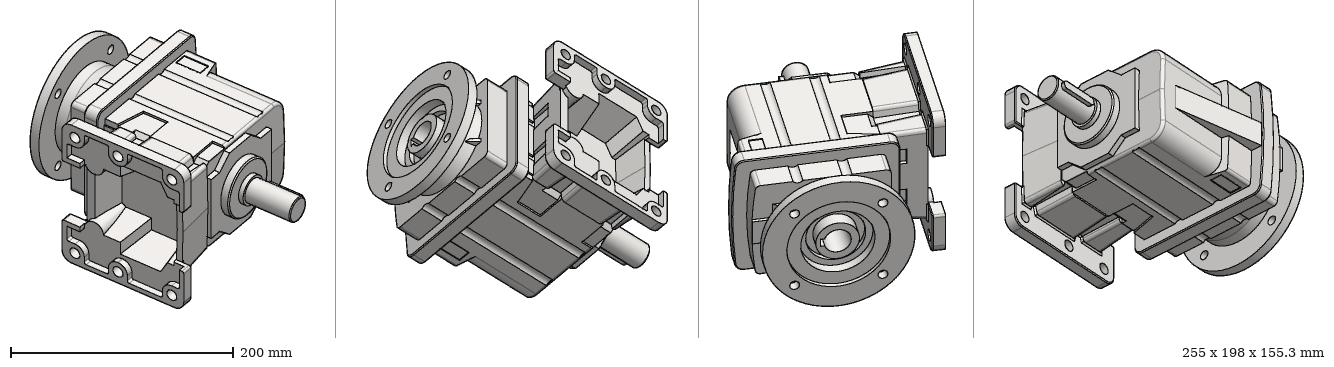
import cadquery as cq
import math


FLANGE_END = 10.0
NECK_END = 21.2
BLOCK_START = 35.0
COVER_START = 58.5
COVER_END = 73.5
HEAD_END = 103.3
HEAD_FOOT = 110.5
HOUSING_END = 184.5
HOUSING_RIDGE = 186.5
END_BOSS_END = 191.0
CAP_END = 200.0
COLLAR_END = 205.0
SHAFT_END = 255.0

FLANGE_D = 140.0
NECK_D = 90.0
CONE_D = 95.0
FLANGE_HOLE_D = 9.0
FLANGE_HOLE_OFFSET = 40.5
SPIGOT_D = 95.0
SPIGOT_DEPTH = 4.0
SEAL_BORE_D = 68.0
SEAL_BORE_DEPTH = 13.8
BEARING_BORE_D = 55.0
BEARING_BORE_DEPTH = 18.9
HUB_D = 40.0
HUB_FACE = 5.0
BORE_D = 25.0
BORE_DEPTH = 63.8
INPUT_KEY_TOP = 15.5
KEY_WIDTH = 8.0

BLOCK_HALF_Z = 50.0
BLOCK_TOP = 68.8
BLOCK_CROWN = 3.8
BLOCK_BOTTOM = -55.3
BLOCK_ROUND = 4.5
HEAD_TOP = 71.1
HEAD_CROWN = 1.5
HEAD_ROUND = 3.0
COVER_HALF_Z = 62.0
COVER_HEIGHT = 198.0
COVER_TOP = 82.5
COVER_BOTTOM = -68.3
COVER_ROUND = 9.0
COVER_CHAMFER = 1.0
HOUSING_HALF_Z = 50.0
HOUSING_TOP = 65.3
HOUSING_BOTTOM = -56.4
HOUSING_ROUND = 16.3
HOUSING_END_ROUND = 3.0
UNDERSIDE_PAD_Y = -58.0
UNDERSIDE_PAD_END = 87.7
UNDERSIDE_PAD_HALF_Z = 43.4
UNDERSIDE_GROOVE_D = 6.0
UNDERSIDE_GROOVE_Z = 22.0
LABEL_DEPTH = 1.0
GROOVE_CENTRES = (30.3, -14.8)
GROOVE_WIDTH = 9.2
GROOVE_DEPTH = 2.0
GROOVE_END = 182.5
RIB_HALF_Z = 12.5
SPINE_TOP = 84.7
SPINE_END = 168.3
LUG_START = 31.5
LUG_BOTTOM = 38.2
SHOULDER_HALF_Z = 27.3
GUSSET_INNER_Z = 22.5
GUSSET_OUTER_Z = 26.8

OUTPUT_Y = -11.7
END_BOSS_TOP = 36.7
END_BOSS_HALF_FLAT = 16.3
END_BOSS_HALF_BASE = 31.5
END_BOSS_TOP_Z = 46.0
END_BOSS_SIDE_Z = 33.2
CAP_D = 60.0
COLLAR_D = 30.0
SHAFT_D = 25.0
SHAFT_CHAMFER = 1.0
CAP_CHAMFER = 1.3
OUTPUT_KEY_START = 209.9
OUTPUT_KEY_END = 250.2
OUTPUT_KEY_TOP = 4.3
OUTPUT_KEY_ROUND = 3.8

FOOT_WIDTH = 155.3
FOOT_HALF_Z = FOOT_WIDTH / 2
COVER_CREST = 86.5
COVER_CROWN = COVER_CREST - COVER_TOP
FOOT_BOTTOM = COVER_CREST - COVER_HEIGHT
FOOT_TOP = -99.2
FOOT_START = 65.3
FOOT_END = 200.2
FOOT_GAP_HALF_Z = 33.2
FOOT_ROUND = 10.5
FOOT_EDGE_CHAMFER = 1.0
FOOT_INNER_ROUND = 2.0
FOOT_HOLE_D = 11.0
FOOT_HOLE_XS = (79.5, 127.2, 187.0)
FOOT_HOLE_Z = 65.0
FOOT_BOSS_R = 10.5
FOOT_BOSS_ROUND = 10.2
RECESS_Y = -104.5
RECESS_START = 71.0
RECESS_END = 195.3
RECESS_HALF_Z = 72.5
RECESS_ROUND = 2.0
RIM_STEP_X = 85.2
RIM_STEP_Z = 38.5
PAD_X = 96.0
PAD_Z = 37.5
PAD_R = 10.5

POST_Z = 51.3
MIDDLE_Z = 55.0
HOLLOW_BASE_Z = 46.5
PEDESTAL_TAPER = 4.3
PEDESTAL_ROUND = 3.8
PEDESTAL_FLARE = 1.5
WINDOW_FLOOR_X = 89.8
WINDOW_BOTTOM = -80.0
WINDOW_Z = 22.7
WINDOW_WIDTH = 16.0
CAVITY_TAPER = 10
CAVITY_FLOOR = -66.0

FLAT_Z = 47.7
FLAT_TOP = -27.0
LABEL_FLAT_END = 122.0
END_FLAT_START = 171.4
SLOPE_START = 103.5
SLOPE_TOP = -51.3
HOLLOW_Z = 43.4


def box(x0, x1, y0, y1, z0, z1):
    return cq.Workplane("XY").box(x1 - x0, y1 - y0, z1 - z0, centered=False).translate((x0, y0, z0))


def x_rod(diameter, x0, x1, y=0.0, z=0.0):
    return cq.Workplane("YZ", origin=(x0, y, z)).circle(diameter / 2).extrude(x1 - x0)


def y_rod(radius, y0, y1, x, z):
    return cq.Workplane("XZ", origin=(x, y0, z)).circle(radius).extrude(y0 - y1)


def prism_z(points, z0, z1):
    return cq.Workplane("XY", origin=(0, 0, z0)).polyline(points).close().extrude(z1 - z0)


def both_sides(solid):
    return solid.union(solid.mirror("XY"))


def mirrored_outline(points):
    """Closes an outline given for z >= 0 (from low x to high x) with its mirror image."""
    return points + [(x, -z) for x, z in reversed(points) if z > 0]


def inset(points, distance):
    """Moves every side of a clockwise outline inwards by the distance, keeping sharp corners."""
    moved = []
    for i, (x, z) in enumerate(points):
        x_before, z_before = points[i - 1]
        x_after, z_after = points[(i + 1) % len(points)]
        angle_in = math.atan2(z - z_before, x - x_before)
        angle_out = math.atan2(z_after - z, x_after - x)
        half_turn = (angle_out - angle_in) / 2
        bisector = angle_in + half_turn - math.pi / 2
        reach = distance / math.cos(half_turn)
        moved.append((x + reach * math.cos(bisector), z + reach * math.sin(bisector)))
    return moved


def tapered_y(points, y0, y1, shrink):
    """Solid growing from y0 towards +Y whose sides have moved inwards by the shrink at y1."""
    return (
        cq.Workplane("XZ", origin=(0, y0, 0))
        .polyline(points)
        .close()
        .workplane(offset=y0 - y1)
        .polyline(inset(points, shrink))
        .close()
        .loft(ruled=True)
    )


def crowned_plate(x0, x1, half_z, bottom, top, crown, rounding):
    """Rounded rectangle across X whose +Y side bulges outwards by the crown."""
    return (
        cq.Workplane("YZ", origin=(x0, 0, 0))
        .moveTo(top, -half_z)
        .lineTo(bottom, -half_z)
        .lineTo(bottom, half_z)
        .lineTo(top, half_z)
        .threePointArc((top + crown, 0), (top, -half_z))
        .close()
        .extrude(x1 - x0)
        .edges("|X")
        .fillet(rounding)
    )


def make_input():
    cone = (
        cq.Workplane("YZ", origin=(NECK_END, 0, 0))
        .circle(NECK_D / 2)
        .workplane(offset=BLOCK_START - NECK_END)
        .circle(CONE_D / 2)
        .loft()
    )
    body = x_rod(FLANGE_D, 0, FLANGE_END).union(x_rod(NECK_D, FLANGE_END, NECK_END)).union(cone)
    for y in (-FLANGE_HOLE_OFFSET, FLANGE_HOLE_OFFSET):
        for z in (-FLANGE_HOLE_OFFSET, FLANGE_HOLE_OFFSET):
            body = body.cut(x_rod(FLANGE_HOLE_D, 0, FLANGE_END, y, z))
    return body


def bore_input(body):
    body = body.cut(x_rod(SPIGOT_D, 0, SPIGOT_DEPTH))
    body = body.cut(x_rod(SEAL_BORE_D, 0, SEAL_BORE_DEPTH))
    body = body.cut(x_rod(BEARING_BORE_D, 0, BEARING_BORE_DEPTH))
    body = body.union(x_rod(HUB_D, HUB_FACE, BEARING_BORE_DEPTH))
    body = body.cut(x_rod(BORE_D, 0, BORE_DEPTH))
    return body.cut(box(0, BORE_DEPTH, 0, INPUT_KEY_TOP, -KEY_WIDTH / 2, KEY_WIDTH / 2))


def make_input_ribs():
    top = BLOCK_TOP + BLOCK_CROWN
    lug = box(LUG_START, BLOCK_START, LUG_BOTTOM, top, -RIB_HALF_Z, RIB_HALF_Z)
    shoulder = prism_z(
        [(22.2, 35.7), (BLOCK_START, 53.5), (BLOCK_START, 35.7)], -SHOULDER_HALF_Z, SHOULDER_HALF_Z
    )
    gusset = prism_z(
        [(24.2, -37.2), (BLOCK_START, -46.5), (BLOCK_START, -35.7)], GUSSET_INNER_Z, GUSSET_OUTER_Z
    )
    return lug.union(shoulder).union(both_sides(gusset))


def make_housing():
    tail_outline = [
        (COVER_END, -HOUSING_HALF_Z),
        (COVER_END, HOUSING_HALF_Z),
        (HOUSING_END, HOUSING_HALF_Z),
        (HOUSING_RIDGE, 0),
        (HOUSING_END, -HOUSING_HALF_Z),
    ]
    tail = (
        cq.Workplane("XZ", origin=(0, HOUSING_BOTTOM, 0))
        .polyline(tail_outline)
        .close()
        .extrude(HOUSING_BOTTOM - HOUSING_TOP)
    )
    tail = tail.edges("|X and >Y").fillet(HOUSING_ROUND)
    corner_zone = cq.selectors.BoxSelector(
        (HOUSING_END - 1.0, -127.5, -127.5),
        (HOUSING_END + 1.0, 127.5, 127.5),
    )
    tail = tail.edges("|Y").edges(corner_zone).fillet(HOUSING_END_ROUND)
    head = crowned_plate(
        COVER_END, HEAD_FOOT, HOUSING_HALF_Z, HOUSING_BOTTOM, HEAD_TOP, HEAD_CROWN, HEAD_ROUND
    )
    head_limit = prism_z(
        [(COVER_END, 0), (COVER_END, 76.5), (HEAD_END, 76.5), (HEAD_FOOT, 48.5), (HEAD_FOOT, 0)],
        -HOUSING_HALF_Z,
        HOUSING_HALF_Z,
    )
    spine = prism_z(
        [(COVER_END, 0), (COVER_END, SPINE_TOP), (SPINE_END, HOUSING_TOP), (SPINE_END, 0)],
        -RIB_HALF_Z,
        RIB_HALF_Z,
    )
    housing = tail.union(head.intersect(head_limit)).union(spine)
    label = box(76.0, 102.8, 49.2, 62.0, HOUSING_HALF_Z - LABEL_DEPTH, HOUSING_HALF_Z)
    return housing.cut(both_sides(label))


def make_underside_pad():
    pad = box(
        COVER_END,
        UNDERSIDE_PAD_END,
        UNDERSIDE_PAD_Y,
        HOUSING_BOTTOM,
        -UNDERSIDE_PAD_HALF_Z,
        UNDERSIDE_PAD_HALF_Z,
    )
    groove = x_rod(UNDERSIDE_GROOVE_D, COVER_END, UNDERSIDE_PAD_END, UNDERSIDE_PAD_Y, UNDERSIDE_GROOVE_Z)
    return pad.cut(both_sides(groove))


def cut_grooves(body):
    radius = (GROOVE_WIDTH**2 / 4 + GROOVE_DEPTH**2) / (2 * GROOVE_DEPTH)
    for y in GROOVE_CENTRES:
        for half_z, x0, x1 in (
            (BLOCK_HALF_Z, BLOCK_START, COVER_START),
            (HOUSING_HALF_Z, COVER_END, GROOVE_END),
        ):
            z = half_z - GROOVE_DEPTH + radius
            body = body.cut(both_sides(x_rod(2 * radius, x0, x1, y, z)))
    return body


def make_cover():
    cover = crowned_plate(
        COVER_START, COVER_END, COVER_HALF_Z, COVER_BOTTOM, COVER_TOP, COVER_CROWN, COVER_ROUND
    )
    return cover.faces("<X or >X").chamfer(COVER_CHAMFER)


def make_output():
    half_outline = [
        (HOUSING_BOTTOM, END_BOSS_SIDE_Z),
        (OUTPUT_Y - END_BOSS_HALF_BASE, END_BOSS_SIDE_Z),
        (OUTPUT_Y - END_BOSS_HALF_FLAT, END_BOSS_TOP_Z),
        (OUTPUT_Y + END_BOSS_HALF_FLAT, END_BOSS_TOP_Z),
        (OUTPUT_Y + END_BOSS_HALF_BASE, END_BOSS_SIDE_Z),
        (END_BOSS_TOP, END_BOSS_SIDE_Z),
    ]
    boss = (
        cq.Workplane("YZ", origin=(HOUSING_END, 0, 0))
        .polyline(mirrored_outline(half_outline))
        .close()
        .extrude(END_BOSS_END - HOUSING_END)
    )
    cap = x_rod(CAP_D, END_BOSS_END, CAP_END, OUTPUT_Y).faces(">X").chamfer(CAP_CHAMFER)
    collar = x_rod(COLLAR_D, CAP_END, COLLAR_END, OUTPUT_Y)
    shaft = x_rod(SHAFT_D, COLLAR_END, SHAFT_END, OUTPUT_Y).faces(">X").chamfer(SHAFT_CHAMFER)
    key = box(OUTPUT_KEY_START, OUTPUT_KEY_END, OUTPUT_Y, OUTPUT_KEY_TOP, -KEY_WIDTH / 2, KEY_WIDTH / 2)
    key = key.edges("|Y").fillet(OUTPUT_KEY_ROUND)
    return boss.union(cap).union(collar).union(shaft).union(key)


def make_pedestal():
    left_post = [(84.2, POST_Z), (109.1, POST_Z)]
    left_hollow = [(110.5, HOLLOW_BASE_Z), (118.3, HOLLOW_BASE_Z)]
    middle = [(120.9, MIDDLE_Z), (171.9, MIDDLE_Z)]
    right_hollow = [(174.2, HOLLOW_BASE_Z), (178.2, HOLLOW_BASE_Z)]
    right_post = [(179.8, POST_Z), (189.5, POST_Z), (190.5, 0.0)]
    outline = mirrored_outline(left_post + left_hollow + middle + right_hollow + right_post)
    shrink = (HOUSING_BOTTOM - FOOT_TOP) * math.tan(math.radians(PEDESTAL_TAPER))
    pedestal = tapered_y(outline, FOOT_TOP, HOUSING_BOTTOM, shrink)
    mid_y = (FOOT_TOP + HOUSING_BOTTOM) / 2
    for x, z in left_post + middle + right_post[1:2]:
        for side in (z, -z):
            corner = pedestal.edges(cq.selectors.NearestToPointSelector((x, mid_y, side)))
            pedestal = corner.fillet(PEDESTAL_ROUND)
    for z in (-WINDOW_Z, WINDOW_Z):
        window = box(
            left_post[0][0],
            WINDOW_FLOOR_X,
            WINDOW_BOTTOM,
            HOUSING_BOTTOM,
            z - WINDOW_WIDTH / 2,
            z + WINDOW_WIDTH / 2,
        )
        pedestal = pedestal.cut(window)
    flare = tapered_y(inset(outline, -PEDESTAL_FLARE), FOOT_TOP, FOOT_TOP + PEDESTAL_FLARE, PEDESTAL_FLARE)
    gap = box(FOOT_START, FOOT_END, FOOT_TOP, HOUSING_BOTTOM, -FOOT_GAP_HALF_Z, FOOT_GAP_HALF_Z)
    return pedestal.union(flare.cut(gap))


def make_cavity():
    outline = mirrored_outline(
        [
            (92.0, 37.0),
            (125.0, 37.0),
            (125.0, 50.2),
            (169.5, 50.2),
            (177.2, 37.0),
            (184.0, 37.0),
            (185.1, 0.0),
        ]
    )
    shrink = (CAVITY_FLOOR - RECESS_Y) * math.tan(math.radians(CAVITY_TAPER))
    cavity = tapered_y(outline, RECESS_Y, CAVITY_FLOOR, shrink)
    return cavity.cut(both_sides(y_rod(PAD_R, RECESS_Y, CAVITY_FLOOR, PAD_X, PAD_Z)))


def make_recess():
    recess = box(RECESS_START, RECESS_END, FOOT_BOTTOM, RECESS_Y, FOOT_GAP_HALF_Z, RECESS_HALF_Z)
    recess = recess.cut(box(RECESS_START, RIM_STEP_X, FOOT_BOTTOM, RECESS_Y, FOOT_GAP_HALF_Z, RIM_STEP_Z))
    boss_z = FOOT_HOLE_Z - FOOT_BOSS_R
    for x in FOOT_HOLE_XS:
        boss = box(x - FOOT_BOSS_R, x + FOOT_BOSS_R, FOOT_BOTTOM, RECESS_Y, boss_z, FOOT_HALF_Z)
        recess = recess.cut(boss.edges("|Y and <Z").fillet(FOOT_BOSS_ROUND))
    for x0, x1 in ((FOOT_START, FOOT_HOLE_XS[0]), (FOOT_HOLE_XS[-1], FOOT_END)):
        recess = recess.cut(box(x0, x1, FOOT_BOTTOM, RECESS_Y, boss_z, FOOT_HALF_Z))
    recess = recess.edges("|Y").edges(">Z").fillet(RECESS_ROUND)
    recess = recess.edges("|Y").edges("<X").edges(">Z").fillet(RECESS_ROUND)
    return recess.edges("|Y").edges(">X").edges(">Z").fillet(RECESS_ROUND)


def make_foot_half():
    plate = box(FOOT_START, FOOT_END, FOOT_BOTTOM, FOOT_TOP, FOOT_GAP_HALF_Z, FOOT_HALF_Z)
    plate = plate.edges("|Y and >Z").fillet(FOOT_ROUND)
    plate = plate.edges("|Y and <Z").fillet(FOOT_INNER_ROUND)
    plate = plate.faces(">Y").edges("not <Z").chamfer(FOOT_EDGE_CHAMFER)
    plate = plate.cut(make_recess()).union(y_rod(PAD_R, RECESS_Y, FOOT_TOP, PAD_X, PAD_Z))
    for x in FOOT_HOLE_XS:
        plate = plate.cut(y_rod(FOOT_HOLE_D / 2, FOOT_BOTTOM, FOOT_TOP, x, FOOT_HOLE_Z))
    return plate


def cut_side_flats(body):
    label = prism_z(
        [
            (87.5, HOUSING_BOTTOM),
            (94.9, FLAT_TOP),
            (LABEL_FLAT_END, FLAT_TOP),
            (LABEL_FLAT_END, HOUSING_BOTTOM),
        ],
        FLAT_Z,
        HOUSING_HALF_Z,
    )
    end = box(END_FLAT_START, HOUSING_RIDGE, HOUSING_BOTTOM, FLAT_TOP, FLAT_Z, HOUSING_HALF_Z)
    body = body.cut(both_sides(label.union(end)))
    for x0, x1 in ((SLOPE_START, LABEL_FLAT_END), (END_FLAT_START, HOUSING_RIDGE)):
        slope = (
            cq.Workplane("YZ", origin=(x0, 0, 0))
            .polyline([(SLOPE_TOP, FLAT_Z), (HOUSING_BOTTOM, FLAT_Z), (HOUSING_BOTTOM, HOLLOW_Z)])
            .close()
            .extrude(x1 - x0)
        )
        body = body.cut(both_sides(slope))
    return body


block = crowned_plate(
    BLOCK_START, COVER_START, BLOCK_HALF_Z, BLOCK_BOTTOM, BLOCK_TOP, BLOCK_CROWN, BLOCK_ROUND
)
body = make_input().union(make_input_ribs()).union(block).union(make_housing())
body = cut_side_flats(cut_grooves(body))
body = body.union(make_cover()).union(make_output())
body = body.union(make_pedestal()).union(both_sides(make_foot_half())).union(make_underside_pad())
body = body.cut(make_cavity())
result = bore_input(body)